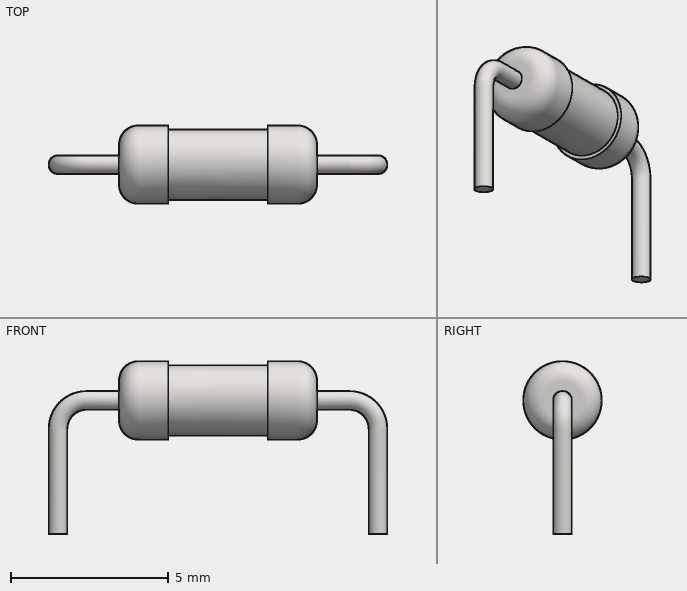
import cadquery as cq

body_length = 6.3
cap_diameter = 2.5
middle_diameter = 2.25
cap_length = body_length / 4
cap_fillet = cap_diameter / 4

lead_diameter = 0.6
lead_pitch = 10.16
bend_radius = 0.9
lead_depth = 3.0

axis_height = cap_diameter / 2
body_start = (lead_pitch - body_length) / 2


def cylinder_along_x(start, length, diameter):
    return cq.Workplane("YZ", origin=(start, 0, axis_height)).circle(diameter / 2).extrude(length)


def make_body():
    """Full-diameter cylinder with rounded ends, waisted between the two end caps."""
    body = cylinder_along_x(body_start, body_length, cap_diameter).faces("<X or >X").edges().fillet(cap_fillet)
    middle_length = body_length - 2 * cap_length
    waist = (
        cq.Workplane("YZ", origin=(body_start + cap_length, 0, axis_height))
        .circle(cap_diameter)
        .circle(middle_diameter / 2)
        .extrude(middle_length)
    )
    return body.cut(waist)


def make_first_lead():
    """Round wire rising from its tip, bending toward +X and ending at the body."""
    bend_start_height = axis_height - bend_radius
    upright = (
        cq.Workplane("XY", origin=(0, 0, -lead_depth))
        .circle(lead_diameter / 2)
        .extrude(lead_depth + bend_start_height)
    )
    bend = (
        cq.Workplane("XY", origin=(0, 0, bend_start_height))
        .circle(lead_diameter / 2)
        .revolve(90, (bend_radius, 0, 0), (bend_radius, 1, 0))
    )
    straight = cylinder_along_x(bend_radius, body_start - bend_radius, lead_diameter)
    return upright.union(bend).union(straight)


first_lead = make_first_lead()
second_lead = first_lead.mirror("YZ", (lead_pitch / 2, 0, 0))
result = make_body().union(first_lead).union(second_lead)